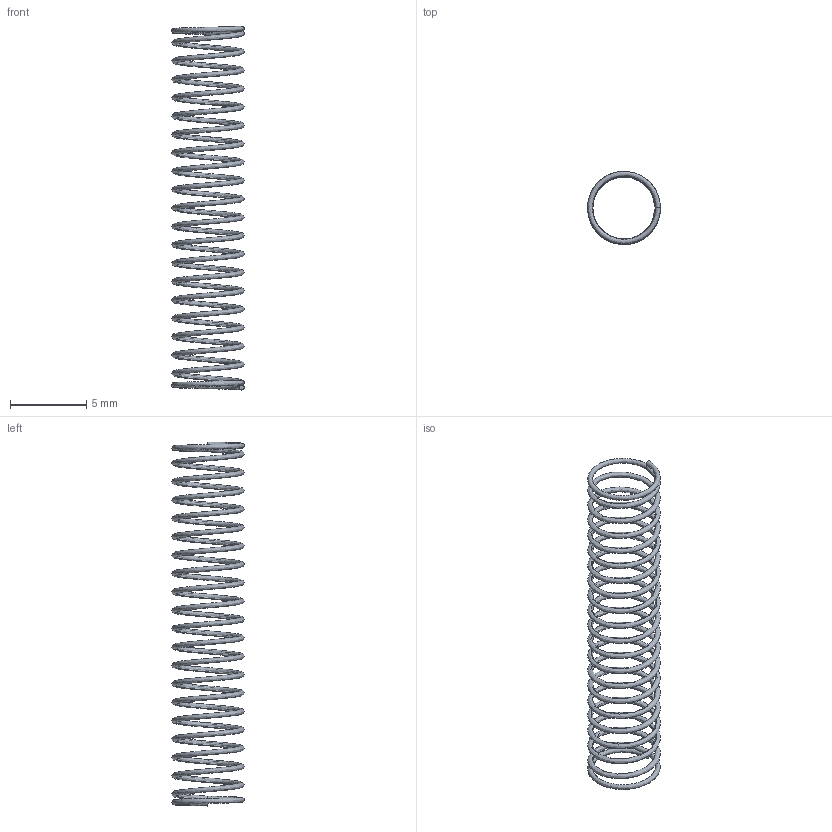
import cadquery as cq

outer_diameter = 4.75
free_length = 23.8
wire_diameter = 0.32
active_coils = 19
end_coils = 1
closing_gap = 0.002

coil_radius = (outer_diameter - wire_diameter) / 2
end_pitch = wire_diameter + closing_gap
end_height = end_coils * end_pitch
active_height = free_length - wire_diameter - 2 * end_height
active_pitch = active_height / active_coils

bottom_start = wire_diameter / 2
active_start = bottom_start + end_height
top_start = active_start + active_height


def coil_stretch(pitch, height, start_height):
    """Sweep the round wire along a helix that starts on the +X side."""
    path = cq.Wire.makeHelix(pitch, height, coil_radius)
    stretch = (
        cq.Workplane("XZ")
        .center(coil_radius, 0)
        .circle(wire_diameter / 2)
        .sweep(cq.Workplane(path), isFrenet=True)
    )
    return stretch.translate((0, 0, start_height))


bottom_coil = coil_stretch(end_pitch, end_height, bottom_start)
active_coil = coil_stretch(active_pitch, active_height, active_start)
top_coil = coil_stretch(end_pitch, end_height, top_start)

result = active_coil.union(bottom_coil).union(top_coil)